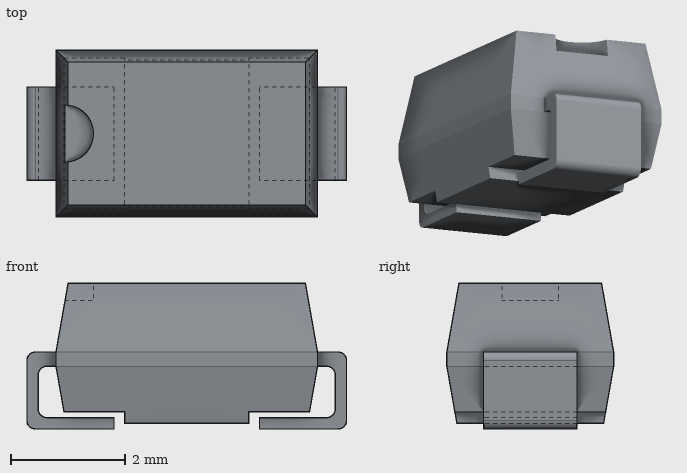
import cadquery as cq
import math

lead_span = 5.59
body_width = 2.92
total_height = 2.55

body_length = 4.57
belt_bottom = 1.095
belt_top = 1.345
draft_angle = 10.0
body_bottom = 0.3
pad_bottom = 0.1
pad_length = 2.17

lead_width = 1.63
lead_thickness = 0.2
foot_gap = 2.54
bend_radius = 0.15
lead_embed = 0.11
selection_margin = 0.055

notch_radius = 0.5
notch_depth = 0.3


def make_body():
    """Drafted body whose full-depth underside remains only at the central pad."""
    belt = (
        cq.Workplane("XY", origin=(0, 0, belt_bottom))
        .rect(body_length, body_width)
        .extrude(belt_top - belt_bottom)
    )
    upper = (
        cq.Workplane("XY", origin=(0, 0, belt_top))
        .rect(body_length, body_width)
        .extrude(total_height - belt_top, taper=draft_angle)
    )
    lower = (
        cq.Workplane("XY", origin=(0, 0, belt_bottom))
        .rect(body_length, body_width)
        .extrude(-(belt_bottom - pad_bottom), taper=draft_angle)
    )
    relief_length = (lead_span - pad_length) / 2
    for side in (-1, 1):
        relief = cq.Workplane("XY").box(
            relief_length, body_width, body_bottom, centered=(True, True, False)
        )
        lower = lower.cut(relief.translate((side * (pad_length + relief_length) / 2, 0, 0)))
    return belt.union(upper).union(lower)


def make_notch():
    """Round cutter centred where the notch floor meets the drafted end face."""
    draft_inset = (total_height - notch_depth - belt_top) * math.tan(math.radians(draft_angle))
    notch_center_x = -body_length / 2 + draft_inset
    return (
        cq.Workplane("XY", origin=(notch_center_x, 0, total_height - notch_depth))
        .circle(notch_radius)
        .extrude(notch_depth)
    )


def make_left_lead():
    """C-shaped strip running from the belt, down the end and under the body."""
    outer_x = -lead_span / 2
    inner_x = outer_x + lead_thickness
    root_x = -body_length / 2 + lead_embed
    foot_x = -foot_gap / 2
    lead = (
        cq.Workplane("XZ")
        .moveTo(root_x, belt_top)
        .lineTo(outer_x, belt_top)
        .lineTo(outer_x, 0)
        .lineTo(foot_x, 0)
        .lineTo(foot_x, lead_thickness)
        .lineTo(inner_x, lead_thickness)
        .lineTo(inner_x, belt_bottom)
        .lineTo(root_x, belt_bottom)
        .close()
        .extrude(lead_width / 2, both=True)
    )
    bend_limit = inner_x + lead_thickness / 2
    bends = cq.selectors.BoxSelector(
        (outer_x - selection_margin, -lead_width, -selection_margin),
        (bend_limit, lead_width, belt_top + selection_margin),
    )
    return lead.edges("|Y").edges(bends).fillet(bend_radius)


left_lead = make_left_lead()
right_lead = left_lead.mirror("YZ")
result = make_body().cut(make_notch()).union(left_lead).union(right_lead)